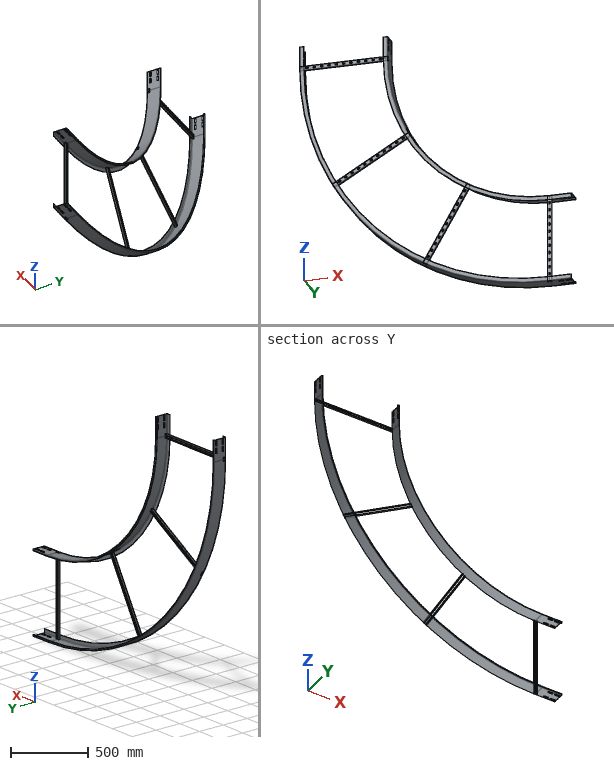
import cadquery as cq
import math


overall = 1850.0
tray_width = 600.0
straight_length = 150.0
bend_angle = 90.0
outer_radius = overall - straight_length
inner_radius = outer_radius - tray_width

sheet = 2.0
rail_bend_radius = 2.0
rung_bend_radius = 0.5

rail_height = 100.0
front_flange = 30.0
back_flange = 12.0
back_return = 7.0

splice_slot_length = 35.0
splice_slot_width = 10.0
splice_slot_end_distances = (25.0, 75.0)
splice_slot_heights = (25.0, 80.0)

fixing_hole_diameter = 5.0
fixing_hole_spacing = 22.0
fixing_hole_height = 14.0

rung_angles = (0.0, 30.0, 60.0, 90.0)
rung_width = 30.0
rung_depth = 14.0
rung_lip = 9.0
rung_slot_length = 16.0
rung_slot_width = 8.0
rung_slot_pitch = 50.0
rung_slot_count = 11

rung_inner_end = inner_radius + sheet
rung_outer_end = math.sqrt((outer_radius - sheet) ** 2 - (rung_width / 2) ** 2)

web_cut_depth = 5.0


def turn_about_bend(body, angle):
    """Turn a body from the -X side of the bend (angle 0) toward the -Z side (angle 90)."""
    return body.rotate((0, 0, 0), (0, 1, 0), -angle)


def web_workplane(web_radius):
    """Plane on the open web face on the -X side, with local x along +Y and local y along +Z."""
    return cq.Workplane(cq.Plane(origin=(-web_radius, 0, 0), xDir=(0, 1, 0), normal=(1, 0, 0)))


def bent_sheet(workplane, path, inside_radius):
    """Closed outline of a sheet whose middle follows a path of straight legs with square bends."""
    corners = [cq.Vector(*point) for point in path]
    directions = [(end - start).normalized() for start, end in zip(corners, corners[1:])]
    first_leg, last_leg = directions[0], directions[-1]

    def left_of(direction):
        return cq.Vector(-direction.y, direction.x, 0)

    def side_arcs(side):
        """Start, middle and end of each bend along one face; side is +1 for the left face, -1 for the right."""
        arcs = []
        for corner, leg_in, leg_out in zip(corners[1:], directions, directions[1:]):
            turns_left = leg_in.cross(leg_out).z > 0
            face_is_inside = turns_left == (side > 0)
            radius = inside_radius if face_is_inside else inside_radius + sheet
            centre = corner + (leg_out - leg_in) * (inside_radius + sheet / 2)
            middle = centre + (leg_in - leg_out) * (radius * math.sqrt(0.5))
            arcs.append((centre - leg_out * radius, middle, centre + leg_in * radius))
        return arcs

    outline = workplane.moveTo(*(corners[0] + left_of(first_leg) * (sheet / 2)).toTuple()[:2])
    for start, middle, end in side_arcs(1):
        outline = outline.lineTo(start.x, start.y).threePointArc((middle.x, middle.y), (end.x, end.y))
    for side in (1, -1):
        tip = corners[-1] + left_of(last_leg) * (side * sheet / 2)
        outline = outline.lineTo(tip.x, tip.y)
    for end, middle, start in reversed(side_arcs(-1)):
        outline = outline.lineTo(start.x, start.y).threePointArc((middle.x, middle.y), (end.x, end.y))
    right_start = corners[0] - left_of(first_leg) * (sheet / 2)
    return outline.lineTo(right_start.x, right_start.y).close()


def rail_section(web_radius, flange_direction):
    """Channel section on the -X side; flange_direction is +1 toward the bend axis, -1 away from it."""
    def x_at(distance):
        return -web_radius + flange_direction * distance

    inset = sheet / 2
    path = [
        (x_at(front_flange), inset),
        (x_at(inset), inset),
        (x_at(inset), rail_height - inset),
        (x_at(back_flange - inset), rail_height - inset),
        (x_at(back_flange - inset), rail_height - back_return),
    ]
    return bent_sheet(cq.Workplane("XY"), path, rail_bend_radius)


def splice_slots(web_radius):
    """Cutters for the slots of the straight end that runs toward +Z."""
    centres = [
        (height, straight_length - distance)
        for height in splice_slot_heights
        for distance in splice_slot_end_distances
    ]
    slots = web_workplane(web_radius).pushPoints(centres).slot2D(splice_slot_length, splice_slot_width, 90)
    return slots.extrude(web_cut_depth, both=True)


def fixing_holes(web_radius):
    """Cutters for the pair of holes at a rung end on the -X side."""
    centres = [(fixing_hole_height, side * fixing_hole_spacing / 2) for side in (-1, 1)]
    holes = web_workplane(web_radius).pushPoints(centres).circle(fixing_hole_diameter / 2)
    return holes.extrude(web_cut_depth, both=True)


def mirror_across_bend(body):
    """Copy a body onto the other half of the bend, swapping the X and Z directions."""
    return turn_about_bend(body.mirror("XY"), bend_angle)


def make_side_rail(web_radius, flange_direction):
    straight = rail_section(web_radius, flange_direction).extrude(straight_length)
    straight = straight.cut(splice_slots(web_radius))
    curve = rail_section(web_radius, flange_direction).revolve(bend_angle, (0, 1), (0, 0))
    rail = curve.union(straight, clean=False).union(mirror_across_bend(straight), clean=False)
    for angle in rung_angles:
        rail = rail.cut(turn_about_bend(fixing_holes(web_radius), angle), clean=False)
    return rail


def make_rung(angle):
    """Lipped channel between the two webs, clear of the bends behind the front flanges, with a slotted front face."""
    inset = sheet / 2
    front = sheet + rail_bend_radius
    front_middle = front + inset
    back_middle = front + rung_depth - inset
    side_middle = rung_width / 2 - inset
    lip_edge = rung_width / 2 - rung_lip
    mid_radius = (inner_radius + outer_radius) / 2
    path = [
        (back_middle, lip_edge),
        (back_middle, side_middle),
        (front_middle, side_middle),
        (front_middle, -side_middle),
        (back_middle, -side_middle),
        (back_middle, -lip_edge),
    ]
    outline = bent_sheet(web_workplane(rung_outer_end), path, rung_bend_radius)
    rung = outline.extrude(rung_outer_end - rung_inner_end)
    slots = (
        cq.Workplane("XZ", origin=(-mid_radius, front, 0))
        .rarray(rung_slot_pitch, 1, rung_slot_count, 1)
        .slot2D(rung_slot_length, rung_slot_width)
        .extrude(-sheet)
    )
    return turn_about_bend(rung.cut(slots), angle)


outer_rail = make_side_rail(outer_radius, 1)
inner_rail = make_side_rail(inner_radius, -1)
rungs = [make_rung(angle) for angle in rung_angles]

result = cq.Compound.makeCompound([outer_rail.val(), inner_rail.val(), *[rung.val() for rung in rungs]])